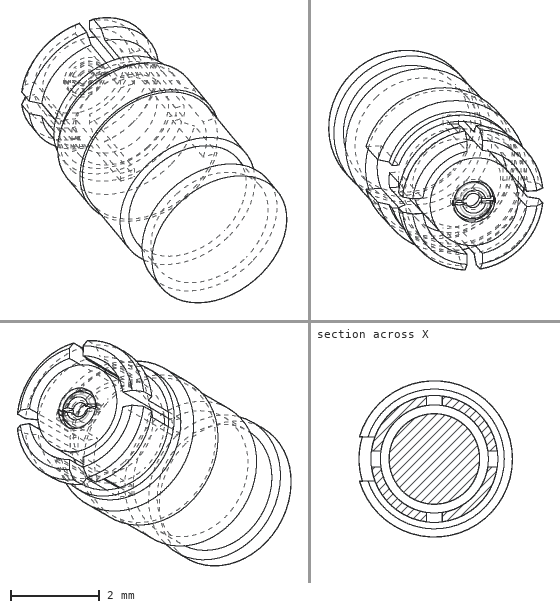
import cadquery as cq

length = 6.9
tip_chamfer_end = 0.2
lip_end = 0.58
neck_start = 0.795
collar_start = 1.71
collar_end = 2.015
band_start = 2.28
finger_root = band_start
band_end = 3.4
groove_start = 5.3
groove_end = 6.4

tip_radius = 1.45
lip_radius = 1.635
neck_radius = 1.43
collar_radius = 1.57
band_radius = 1.76
body_radius = 1.7
groove_radius = 1.48

socket_radius = 1.215
finger_slot_width = 0.35

notch_width = 0.995

insulator_front = 0.05
insulator_radius = 1.02
insulator_flare_end = collar_start + socket_radius - insulator_radius

contact_hole_radius = 0.475
contact_hole_depth = 0.17
pin_front = 0.055
pin_radius = 0.415
pin_rim_radius = 0.33
pin_mouth_radius = 0.27
pin_throat_radius = 0.165
pin_bore_radius = 0.215
pin_mouth_depth = 0.105
pin_bore_depth = 0.415
pin_tip_depth = 0.125
pin_slot_width = 0.105
pin_slot_depth = 0.19
pin_slot_length = 0.995


def revolve_about_x(points):
    """Revolve a closed (x, radius) outline about the X axis."""
    return cq.Workplane("XZ").polyline(points).close().revolve(360, (0, 0, 0), (1, 0, 0))


def box_from(start, end, width_y, width_z):
    """Box between two X stations, centred on the axis."""
    return cq.Workplane("XY").box(end - start, width_y, width_z, centered=(False, True, True)).translate(
        (start, 0, 0)
    )


def make_shell():
    return revolve_about_x([
        (0, 0),
        (0, tip_radius),
        (tip_chamfer_end, lip_radius),
        (lip_end, lip_radius),
        (neck_start, neck_radius),
        (collar_start, neck_radius),
        (collar_start, collar_radius),
        (collar_end, collar_radius),
        (band_start, band_radius),
        (band_end, band_radius),
        (band_end, body_radius),
        (groove_start, body_radius),
        (groove_start, groove_radius),
        (groove_end, groove_radius),
        (groove_end, body_radius),
        (length, body_radius),
        (length, 0),
    ])


def make_socket():
    return revolve_about_x([
        (0, 0),
        (0, socket_radius),
        (finger_root, socket_radius),
        (finger_root, 0),
    ])


def make_finger_slots():
    """Two crossing slots that run on beneath the collar, inside the neck radius."""
    reach = 2 * band_radius
    slot_y = box_from(0, finger_root, reach, finger_slot_width)
    slot_z = box_from(0, finger_root, finger_slot_width, reach)
    open_zone = box_from(0, collar_start, reach, reach)
    covered_zone = cq.Workplane("YZ").circle(neck_radius).extrude(finger_root)
    return slot_y.union(slot_z).intersect(open_zone.union(covered_zone))


def make_key_notch():
    """Slot on the +Y side that stops at the neck surface."""
    block = cq.Workplane("XY").box(
        band_end - collar_start, band_radius, notch_width, centered=(False, False, True)
    ).translate((collar_start, 0, 0))
    core = cq.Workplane("YZ").circle(neck_radius).extrude(length)
    return block.cut(core)


def make_insulator():
    """Cylindrical core with a flared foot, rooted in the solid body behind the socket."""
    return revolve_about_x([
        (insulator_front, 0),
        (insulator_front, insulator_radius),
        (collar_start, insulator_radius),
        (insulator_flare_end, socket_radius),
        (band_end, socket_radius),
        (band_end, 0),
    ])


def make_contact_recess():
    """Hole in the insulator around the rounded, hollow contact pin."""
    hole_floor = insulator_front + contact_hole_depth
    mouth_end = pin_front + pin_mouth_depth
    bore_end = pin_front + pin_bore_depth
    rounding_end = pin_front + pin_radius - pin_rim_radius
    outline = (
        cq.Workplane("XZ")
        .moveTo(0, 0)
        .lineTo(0, contact_hole_radius)
        .lineTo(hole_floor, contact_hole_radius)
        .lineTo(hole_floor, pin_radius)
        .lineTo(rounding_end, pin_radius)
        .tangentArcPoint((pin_front, pin_rim_radius), relative=False)
        .lineTo(pin_front, pin_mouth_radius)
        .lineTo(mouth_end, pin_throat_radius)
        .lineTo(mouth_end, pin_bore_radius)
        .lineTo(bore_end, pin_bore_radius)
        .lineTo(bore_end + pin_tip_depth, 0)
        .close()
    )
    recess = outline.revolve(360, (0, 0, 0), (1, 0, 0))
    pin_slot = box_from(pin_front, pin_front + pin_slot_depth, pin_slot_length, pin_slot_width)
    return recess.union(pin_slot)


shell = make_shell().cut(make_socket()).cut(make_finger_slots()).cut(make_key_notch())
result = shell.union(make_insulator()).cut(make_contact_recess())